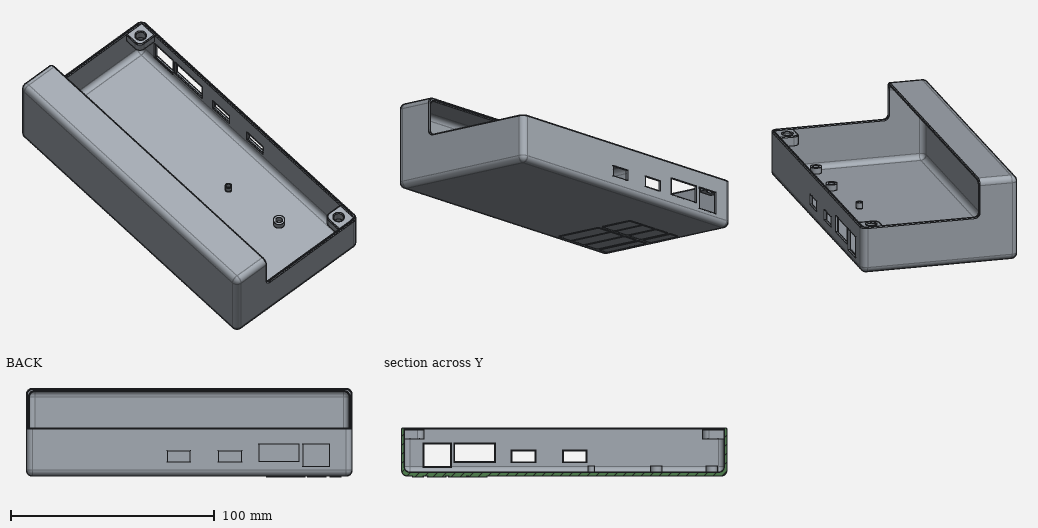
import cadquery as cq

length = 160.0
depth = 80.0
case_height = 43.0

wall = 1.5
floor = 2.0
outer_radius = 3.0
inner_radius = 2.7
edge_break = 0.5

rim_height = 23.7
ridge_depth = 20.0
step_radius = 2.4

boss_depth = 10.0
boss_thickness = 5.0
boss_drop = 0.5
boss_radius = 3.0
screw_hole_diameter = 4.8
screw_y = 33.3
boss_layout = [(-1, 9.6, 73.5), (1, 10.5, 73.0)]

standoff_height = 3.0
standoffs = [
    (45.1, 18.9, 5.6, 3.2),
    (72.3, 18.9, 5.6, 3.2),
    (13.3, 14.0, 3.2, 2.2),
]

windows = [
    (-68.8, -55.8, 4.8, 15.7),
    (-53.8, -34.2, 7.2, 15.7),
    (-25.8, -14.2, 7.0, 12.3),
    (-0.5, 10.7, 7.0, 12.3),
]

label_relief = 0.5
label_rows = [(-74.5, -69.1), (-67.0, -58.0), (-56.8, -47.8), (-47.2, -38.0)]
label_spans = [(-34.4, -9.5), (-6.7, 10.5)]

half_length = length / 2
half_depth = depth / 2
inner_x = half_length - wall
inner_y = half_depth - wall
ridge_rear_y = ridge_depth - half_depth
boss_top = rim_height - boss_drop
boss_bottom = boss_top - boss_thickness


def box(x0, x1, y0, y1, z0, z1):
    """Axis-aligned box between two opposite corners."""
    size = (x1 - x0, y1 - y0, z1 - z0)
    return cq.Workplane("XY", origin=(x0, y0, z0)).box(*size, centered=False)


def outer_block():
    """Rounded block with the step removed above the tray."""
    block = box(-half_length, half_length, -half_depth, half_depth, 0, case_height)
    block = block.edges().fillet(outer_radius)
    step = box(-length, length, ridge_rear_y, depth, rim_height, 2 * case_height)
    step = step.edges("<Y and <Z").fillet(step_radius)
    return block.cut(step)


def cavity():
    """Inside of the shell, inset from the rounded block by the wall and floor thickness."""
    inner = box(-inner_x, inner_x, -inner_y, inner_y, floor, case_height - wall)
    return inner.edges().fillet(inner_radius)


def break_rim_edges(shell):
    """Chamfer both edges of the stepped rim; each chain runs on smoothly from the rear rim."""
    rear_rim = cq.selectors.BoxSelector(
        (-half_length, inner_y - wall, rim_height - wall),
        (half_length, half_depth + wall, rim_height + wall),
    )
    return shell.edges(rear_rim).edges("|X").chamfer(edge_break)


def corner_boss(side, width, envelope):
    """Screw boss merged into a rear corner, with a rounded free corner."""
    x0, x1 = sorted((side * (inner_x - width), side * half_length))
    boss = box(x0, x1, inner_y - boss_depth, half_depth, boss_bottom, boss_top)
    free_corner = "|Z and <Y and " + (">X" if side < 0 else "<X")
    boss = boss.edges(free_corner).fillet(boss_radius)
    return boss.faces(">Z").chamfer(edge_break).intersect(envelope)


def boss_pocket(side, width):
    """Square-cornered clearance above a boss, out to the inner wall faces."""
    x0, x1 = sorted((side * (inner_x - width), side * inner_x))
    return box(x0, x1, inner_y - boss_depth, inner_y, boss_top, case_height)


def screw_hole(x):
    """Through hole in a boss with a chamfered mouth."""
    hole = cq.Workplane("XY", origin=(x, screw_y, boss_bottom))
    hole = hole.circle(screw_hole_diameter / 2).extrude(boss_thickness)
    mouth = cq.Workplane("XY", origin=(x, screw_y, boss_top - edge_break))
    mouth = mouth.circle(screw_hole_diameter / 2).workplane(offset=edge_break)
    mouth = mouth.circle(screw_hole_diameter / 2 + edge_break).loft()
    return hole.union(mouth)


def standoff(x, y, outer_diameter, bore_diameter):
    """Hollow post standing on the floor."""
    base = cq.Workplane("XY", origin=(x, y, floor))
    return base.circle(outer_diameter / 2).circle(bore_diameter / 2).extrude(standoff_height)


def window(x0, x1, z0, z1):
    """Rectangular opening through the rear wall, flared on the inside."""
    opening = box(x0, x1, inner_y, depth, z0, z1)
    flare = cq.Workplane("XZ", origin=((x0 + x1) / 2, inner_y, (z0 + z1) / 2))
    flare = flare.rect(x1 - x0 + 2 * edge_break, z1 - z0 + 2 * edge_break)
    flare = flare.workplane(offset=-edge_break).rect(x1 - x0, z1 - z0).loft()
    return opening.union(flare)


envelope = outer_block()
result = break_rim_edges(envelope.cut(cavity()))

for side, width, screw_x in boss_layout:
    boss = corner_boss(side, width, envelope)
    result = result.union(boss).cut(screw_hole(side * screw_x)).cut(boss_pocket(side, width))

for sizes in standoffs:
    result = result.union(standoff(*sizes))

for limits in windows:
    result = result.cut(window(*limits))

for x0, x1 in label_rows:
    for y0, y1 in label_spans:
        result = result.union(box(x0, x1, y0, y1, -label_relief, floor / 2))